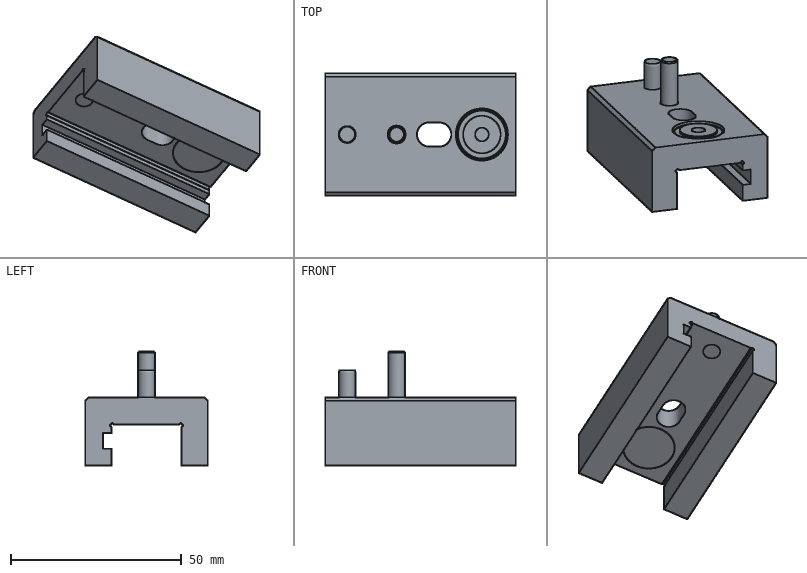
import cadquery as cq

block_length = 56.0
block_width = 36.0
block_height = 20.0
top_edge_chamfer = 1.0

channel_width = 20.5
channel_height = 12.0
relief_width = 1.0
relief_depth = 0.2
relief_angle = 45.0

groove_depth = 2.5
groove_bottom = 5.0
groove_top = 9.5

roof_thickness = block_height - channel_height
slot_length = 10.0
slot_width = 7.0
slot_x = 4.0

pin_diameter = 5.0
short_pin_x = -21.5
short_pin_top = 28.0
short_pin_lead_height = 0.7
short_pin_lead_width = 0.2
long_pin_x = -7.0
long_pin_top = 33.5
long_pin_length = 20.0
long_pin_bottom = long_pin_top - long_pin_length
long_pin_chamfer = 0.4
long_pin_hole_diameter = 5.3

magnet_x = 18.0
cup_diameter = 15.0
cup_hole_diameter = 15.2
cup_rim_drop = 0.5
cup_chamfer = 0.5
magnet_diameter = 11.0
magnet_bore_diameter = 4.0
magnet_thickness = 2.0
magnet_bottom = block_height - magnet_thickness


def cylinder(diameter, x, bottom, top):
    """A vertical cylinder on the block's centre line."""
    base = cq.Workplane("XY", origin=(x, 0, bottom))
    return base.circle(diameter / 2).extrude(top - bottom)


def bar_along_x(y_min, y_max, z_min, z_max):
    """A rectangular bar over the whole length of the block."""
    size = (block_length, y_max - y_min, z_max - z_min)
    corner = (-block_length / 2, y_min, z_min)
    return cq.Workplane("XY", origin=corner).box(*size, centered=False)


def make_corner_relief(side):
    """The groove cutting diagonally into an upper corner of the channel; `side` is the sign of Y."""
    half_relief = relief_width / 2
    upright = bar_along_x(-half_relief, half_relief, -half_relief, relief_depth)
    leaning = upright.rotate((0, 0, 0), (1, 0, 0), -side * relief_angle)
    return leaning.translate((0, side * channel_width / 2, channel_height))


def make_block():
    half_width = block_width / 2
    half_channel = channel_width / 2
    block = bar_along_x(-half_width, half_width, 0, block_height)
    block = block.faces(">Z").edges("|X").chamfer(top_edge_chamfer)

    block = block.cut(bar_along_x(-half_channel, half_channel, 0, channel_height))
    block = block.cut(bar_along_x(0, half_channel + groove_depth, groove_bottom, groove_top))
    for side in (-1, 1):
        block = block.cut(make_corner_relief(side))

    slot = (
        cq.Workplane("XY", origin=(slot_x, 0, channel_height))
        .slot2D(slot_length, slot_width)
        .extrude(roof_thickness)
    )
    block = block.cut(slot)

    round_holes = [
        (pin_diameter, short_pin_x, channel_height),
        (long_pin_hole_diameter, long_pin_x, long_pin_bottom),
        (cup_hole_diameter, magnet_x, channel_height),
    ]
    for diameter, x, bottom in round_holes:
        block = block.cut(cylinder(diameter, x, bottom, block_height))
    return block


def make_pin(x, bottom, top, lead_height, lead_width):
    """A pin with a bevelled upper end."""
    pin = cylinder(pin_diameter, x, bottom, top)
    return pin.faces(">Z").chamfer(lead_height, lead_width)


def make_cup():
    rim_top = block_height - cup_rim_drop
    cup = cylinder(cup_diameter, magnet_x, channel_height, rim_top)
    cup = cup.faces(">Z").chamfer(cup_chamfer)
    seat = cylinder(magnet_diameter, magnet_x, magnet_bottom, block_height)
    return cup.cut(seat)


def make_magnet():
    magnet = cylinder(magnet_diameter, magnet_x, magnet_bottom, block_height)
    return magnet.cut(cylinder(magnet_bore_diameter, magnet_x, magnet_bottom, block_height))


block = make_block()
short_pin = make_pin(
    short_pin_x, channel_height, short_pin_top, short_pin_lead_height, short_pin_lead_width
)
long_pin = make_pin(long_pin_x, long_pin_bottom, long_pin_top, long_pin_chamfer, long_pin_chamfer)
cup = make_cup()
magnet = make_magnet()

bodies = [block, short_pin, long_pin, cup, magnet]
result = cq.Compound.makeCompound([body.val() for body in bodies])